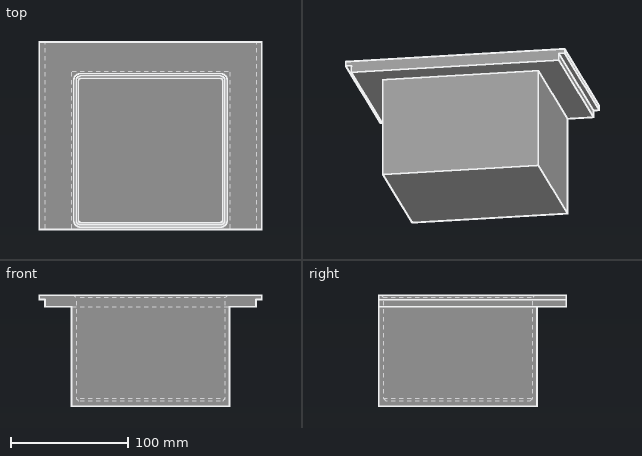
import cadquery as cq

plate_length = 190.0
plate_width = 160.0
lip_thickness = 4.0
shoulder_thickness = 6.0
shoulder_inset = 5.0

basin_side = 135.0
overall_height = 95.0
wall_thickness = 4.0
floor_thickness = 5.0

corner_radius = 4.0
rim_edge_size = 2.0
floor_edge_size = 2.0

cavity_side = basin_side - 2 * wall_thickness
cavity_depth = overall_height - floor_thickness


def block_from_front(length, width, z_top, height):
    """Block centred in X that starts at the front face and hangs down from z_top."""
    return (
        cq.Workplane("XY")
        .box(length, width, height, centered=(True, False, False))
        .translate((0, 0, z_top - height))
    )


def make_body():
    """Solid outer shape: lip, shoulder and basin block."""
    lip = block_from_front(plate_length, plate_width, 0, lip_thickness)
    shoulder_length = plate_length - 2 * shoulder_inset
    shoulder = block_from_front(shoulder_length, plate_width, -lip_thickness, shoulder_thickness)
    basin = block_from_front(basin_side, basin_side, 0, overall_height)
    return lip.union(shoulder).union(basin)


def make_cavity():
    """Volume removed from the basin, with rounded corners and a bevelled floor."""
    return (
        block_from_front(cavity_side, cavity_side, 0, cavity_depth)
        .translate((0, wall_thickness, 0))
        .edges("|Z")
        .fillet(corner_radius)
        .faces("<Z")
        .edges()
        .chamfer(floor_edge_size)
    )


def cut_cavity(body):
    """Hollow the basin and bevel the edge of its opening."""
    hollow = body.cut(make_cavity())
    opening_edges = hollow.faces(">Z").wires(cq.selectors.LengthNthSelector(0)).edges()
    return opening_edges.chamfer(rim_edge_size)


result = cut_cavity(make_body())